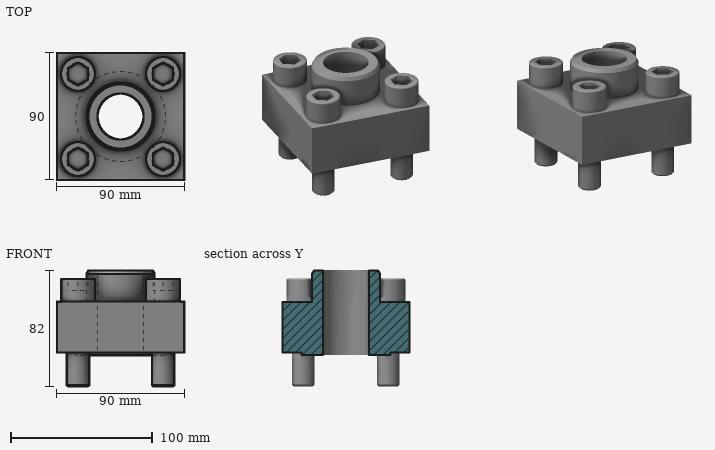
import cadquery as cq
import math

block_width = 90.0
block_height = 36.0

hub_diameter = 48.3
hub_height = 22.0
hub_bevel_height = 2.5
hub_bevel_angle = 30.0

boss_diameter = 63.5
boss_height = 2.0
bore_diameter = 32.3

bolt_circle_diameter = 85.0
shank_diameter = 16.0
shank_length = 24.0
shank_chamfer = 1.227
head_diameter = 24.0
head_height = 16.0
head_edge_radius = 1.0
socket_across_flats = 14.0
socket_depth = 8.0

block_top = block_height
screw_offset = bolt_circle_diameter / 2 * math.cos(math.pi / 4)
head_top = block_top + head_height


def make_block():
    return cq.Workplane("XY").box(block_width, block_width, block_height, centered=(True, True, False))


def make_hub():
    """Round hub with a welding bevel around its upper rim."""
    bevel_width = hub_bevel_height * math.tan(math.radians(hub_bevel_angle))
    hub = cq.Workplane("XY").workplane(offset=block_top).circle(hub_diameter / 2).extrude(hub_height)
    return hub.faces(">Z").chamfer(hub_bevel_height, bevel_width)


def make_boss():
    return cq.Workplane("XY").circle(boss_diameter / 2).extrude(-boss_height)


def make_screw():
    """Cap screw on the Z axis: rounded head above the block, chamfered shank below it."""
    head = cq.Workplane("XY").workplane(offset=block_top).circle(head_diameter / 2).extrude(head_height)
    head = head.faces(">Z").edges().fillet(head_edge_radius)
    shank = (
        cq.Workplane("XY")
        .workplane(offset=-shank_length)
        .circle(shank_diameter / 2)
        .extrude(shank_length + block_top)
        .faces("<Z")
        .chamfer(shank_chamfer)
    )
    socket_across_corners = socket_across_flats / math.cos(math.pi / 6)
    socket = (
        cq.Workplane("XY")
        .workplane(offset=head_top)
        .transformed(rotate=(0, 0, 90))
        .polygon(6, socket_across_corners)
        .extrude(-socket_depth)
    )
    return head.union(shank).cut(socket)


def make_bore():
    return (
        cq.Workplane("XY")
        .workplane(offset=-boss_height)
        .circle(bore_diameter / 2)
        .extrude(boss_height + block_height + hub_height)
    )


body = make_block().union(make_hub()).union(make_boss())
screw = make_screw()
for x_side in (-1, 1):
    for y_side in (-1, 1):
        position = (x_side * screw_offset, y_side * screw_offset, 0)
        body = body.union(screw.translate(position))

result = body.cut(make_bore())